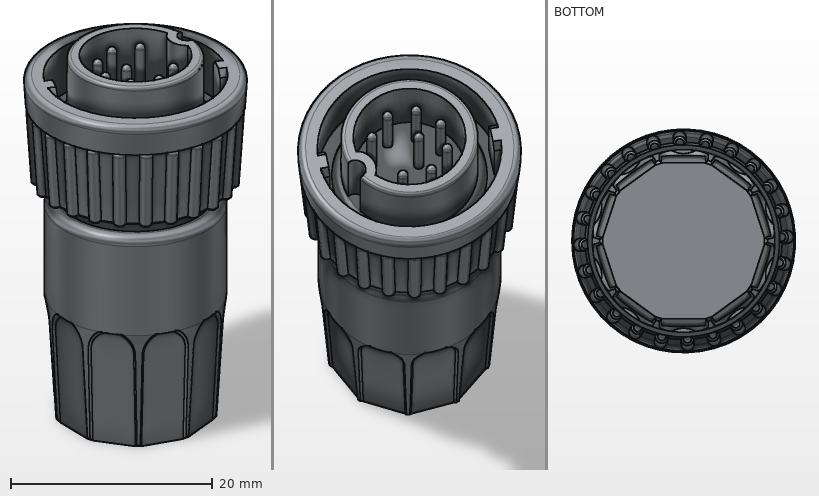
import cadquery as cq
import math

nut_cone_top = 13.1
nut_body_top = 24.15
ring_bottom = 25.9
rib_top = 34.5
ring_top = 37.72
plug_top = 39.88
ring_floor = 32.4
socket_floor = 33.4
pin_top = 39.15

nut_radius = 9.08
nut_foot_radius = 8.33
nut_top_round = 1.0
nut_foot_chamfer = 0.3
neck_radius = 7.8
flat_count = 10
flat_half_width = 2.2
flat_arch_center = 10.75
flat_foot_distance = 7.75
flat_edge_taper = 45.0
flat_cut_depth = 2.0
grip_slope = math.degrees(math.atan2(nut_radius - nut_foot_radius, nut_cone_top))

ring_radius = 11.11
ring_taper = 3.7
ring_rim_round = 0.75
ring_foot_chamfer = 0.25
ring_bore_radius = 9.16
ring_angle = -24.7
rib_count = 24
rib_pitch = 360 / rib_count
rib_radius = 0.65
rib_end_round = 0.4
groove_depth = 0.6
groove_cove = 0.4

lug_distance = 8.3
lug_top_half_width = 0.75
lug_ramp = 0.7
lug_wall_overlap = 0.3

plug_radius = 6.81
plug_bore_radius = 5.58
plug_rim_round = 0.38
collar_radius = 7.73
collar_round = collar_radius - plug_radius
collar_height = 1.0
key_center_y = 6.6
key_notch_radius = 1.05
key_wall_radius = 2.1

pin_radius = 0.5
pin_circle_radius = 3.79
pin_angles = (-135, -90, -45, 0, 45, 135, 180)
inner_pin_y = -1.13


def cylinder(radius, bottom, top, x=0.0, y=0.0):
    return cq.Workplane("XY", origin=(x, y, bottom)).circle(radius).extrude(top - bottom)


def ring_radius_at(z):
    straight_top = ring_top - ring_rim_round
    return ring_radius - (straight_top - z) * math.tan(math.radians(ring_taper))


def cone(bottom_radius, top_radius, bottom, top):
    outline = [(0, bottom), (bottom_radius, bottom), (top_radius, top), (0, top)]
    return cq.Workplane("XZ").polyline(outline).close().revolve(360, (0, 0, 0), (0, 1, 0))


def make_flat_cutter():
    """Arch-topped cutter leaning with the grip cone, facing -Y, with sloping side walls."""
    width = flat_half_width
    below = -flat_cut_depth
    lean = math.radians(grip_slope)
    plane = cq.Plane(
        origin=(0, -flat_foot_distance, 0),
        xDir=(1, 0, 0),
        normal=(0, -math.cos(lean), -math.sin(lean)),
    )
    return (
        cq.Workplane(plane)
        .moveTo(-width, below)
        .lineTo(width, below)
        .lineTo(width, flat_arch_center)
        .threePointArc((0, flat_arch_center + width), (-width, flat_arch_center))
        .close()
        .extrude(flat_cut_depth, taper=-flat_edge_taper)
    )


def make_nut():
    grip = cone(nut_foot_radius, nut_radius, 0, nut_cone_top)
    grip = grip.faces("<Z").edges().chamfer(nut_foot_chamfer)
    cutter = make_flat_cutter()
    for index in range(flat_count):
        grip = grip.cut(cutter.rotate((0, 0, 0), (0, 0, 1), index * 360 / flat_count))
    body = cylinder(nut_radius, nut_cone_top, nut_body_top).faces(">Z").edges().fillet(nut_top_round)
    neck = cylinder(neck_radius, nut_body_top, ring_bottom)
    return grip.union(body).union(neck)


def make_rib():
    """Round bar on the +X side, following the ring taper."""
    lean = math.radians(ring_taper)
    axis = cq.Plane(
        origin=(ring_radius_at(ring_bottom) - rib_radius, 0, ring_bottom),
        xDir=(0, 1, 0),
        normal=(math.sin(lean), 0, math.cos(lean)),
    )
    rib = cq.Workplane(axis).circle(rib_radius).extrude(rib_top - ring_bottom)
    rib = rib.faces(">Z").edges().fillet(rib_end_round)
    return rib.faces("<Z").edges().chamfer(ring_foot_chamfer)


def make_lug():
    """Flat-topped lug on the +X side of the ring bore, with ramps at both ends."""
    foot = lug_top_half_width + lug_ramp
    outline = [
        (-foot, ring_floor),
        (foot, ring_floor),
        (foot, ring_top - lug_ramp),
        (lug_top_half_width, ring_top),
        (-lug_top_half_width, ring_top),
        (-foot, ring_top - lug_ramp),
    ]
    reach = ring_bore_radius + lug_wall_overlap - lug_distance
    return cq.Workplane("YZ", origin=(lug_distance, 0, 0)).polyline(outline).close().extrude(reach)


def make_ring_body():
    """Turned blank: grooved cone, cove under the rim, tapered rim with a rounded top edge."""
    foot_radius = ring_radius_at(ring_bottom) - groove_depth
    groove_top_radius = ring_radius_at(rib_top) - groove_depth
    rim_edge = ring_top - ring_rim_round
    cove_mid = groove_cove * (1 - math.sqrt(0.5))
    rim_mid = ring_rim_round * (1 - math.sqrt(0.5))
    return (
        cq.Workplane("XZ")
        .moveTo(0, ring_bottom)
        .lineTo(foot_radius - ring_foot_chamfer, ring_bottom)
        .lineTo(foot_radius, ring_bottom + ring_foot_chamfer)
        .lineTo(groove_top_radius, rib_top - groove_cove)
        .threePointArc(
            (groove_top_radius + cove_mid, rib_top - cove_mid),
            (groove_top_radius + groove_cove, rib_top),
        )
        .lineTo(ring_radius_at(rib_top), rib_top)
        .lineTo(ring_radius, rim_edge)
        .threePointArc(
            (ring_radius - rim_mid, ring_top - rim_mid),
            (ring_radius - ring_rim_round, ring_top),
        )
        .lineTo(0, ring_top)
        .close()
        .revolve(360, (0, 0, 0), (0, 1, 0))
    )


def make_ring():
    ring = make_ring_body()
    rib = make_rib()
    for index in range(rib_count):
        ring = ring.union(rib.rotate((0, 0, 0), (0, 0, 1), (index + 0.5) * rib_pitch))
    ring = ring.cut(cylinder(ring_bore_radius, ring_floor, ring_top))
    lug = make_lug()
    for angle in (90, 270):
        ring = ring.union(lug.rotate((0, 0, 0), (0, 0, 1), angle))
    return ring.rotate((0, 0, 0), (0, 0, 1), ring_angle)


def make_plug():
    plug = cylinder(plug_radius, ring_floor, plug_top)
    bore = cylinder(plug_bore_radius, socket_floor, plug_top)
    bore = bore.cut(cylinder(key_wall_radius, socket_floor, plug_top, y=key_center_y))
    plug = plug.faces(">Z").edges().fillet(plug_rim_round)
    plug = plug.cut(bore)
    collar_top = ring_floor + collar_height
    collar = cylinder(collar_radius, ring_floor, collar_top).faces(">Z").edges().fillet(collar_round)
    plug = plug.cut(cylinder(key_notch_radius, socket_floor, plug_top, y=key_center_y))
    return plug.union(collar.cut(cylinder(plug_radius, socket_floor, plug_top)))


def make_pin(x, y):
    tip_center = pin_top - pin_radius
    shank = cylinder(pin_radius, socket_floor, tip_center, x, y)
    tip = cq.Workplane("XY", origin=(x, y, tip_center)).sphere(pin_radius)
    return shank.union(tip)


result = make_nut().union(make_ring()).union(make_plug())
for pin_angle in pin_angles:
    turn = math.radians(pin_angle)
    pin_x = pin_circle_radius * math.cos(turn)
    pin_y = pin_circle_radius * math.sin(turn)
    result = result.union(make_pin(pin_x, pin_y))
result = result.union(make_pin(0, inner_pin_y))